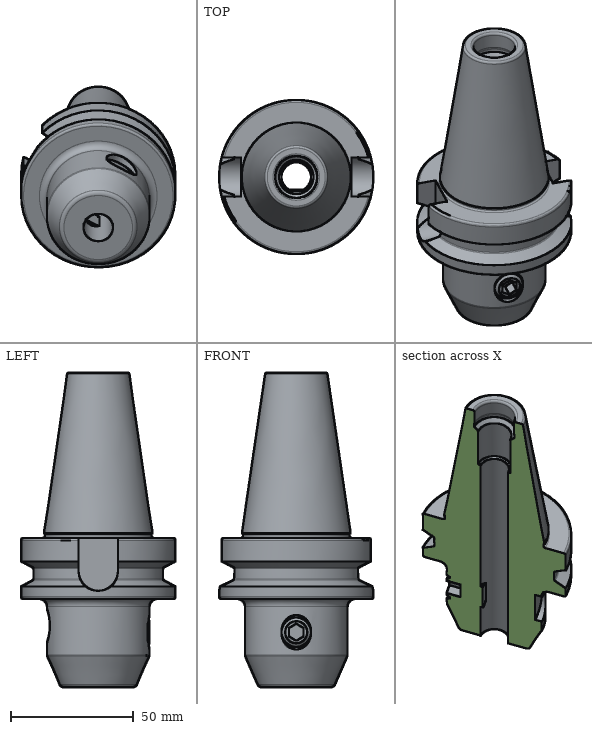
import cadquery as cq
import math


taper_length = 65.4
nose_length = 63.0

gauge_radius = 44.45 / 2
taper_ratio = 7 / 24
taper_end_radius = gauge_radius - taper_length * taper_ratio / 2
edge_round = 1.0

relief_radius = 21.8
relief_round = 0.7

flange_radius = 31.5
flange_top = -2.0
flange_bottom = -27.0
groove_centre = -16.7
groove_root_radius = 26.5
groove_mouth_width = 10.2
groove_root_round = 0.5
groove_flank_angle = 28.0
groove_flank_height = (flange_radius - groove_root_radius) * math.tan(math.radians(groove_flank_angle))
groove_root_width = groove_mouth_width - 2 * groove_flank_height

slot_width = 16.0
slot_floor_x = 22.6
slot_length = 21.6

nose_radius = 21.0
nose_neck_round = 3.0
nose_cone_length = 13.0
nose_end_radius = 15.3
nose_end_round = 2.0
nose_cone_round = 1.5

pilot_radius = 8.5
pilot_depth = 6.9
relief_bore_radius = 8.8
relief_start_depth = 8.0
relief_end_depth = 9.35
core_radius = 7.0
core_depth = 30.0
tool_bore_radius = 6.0
drill_tip_angle = 59.0

screw_z = -nose_length + 22.5
screw_radius = 6.0
screw_length = 16.0
screw_chamfer = 1.5
socket_across_flats = 6.0
socket_depth = 6.0
countersink_radius = 7.0

balance_z = screw_z + 2.7
balance_radius = 7.0
balance_depth = 3.0


def revolve_profile(profile):
    """Turn a closed (radius, Z) profile about the Z axis."""
    return profile.close().revolve(360, (0, 0, 0), (0, 1, 0))


def taper_shank():
    profile = (
        cq.Workplane("XZ")
        .moveTo(0, flange_top)
        .lineTo(relief_radius, flange_top)
        .lineTo(relief_radius, relief_radius - gauge_radius)
        .lineTo(gauge_radius, 0)
        .lineTo(taper_end_radius, taper_length)
        .lineTo(0, taper_length)
    )
    return revolve_profile(profile).faces(">Z").edges().fillet(edge_round)


def flange():
    disc = (
        cq.Workplane("XY", origin=(0, 0, flange_bottom))
        .circle(flange_radius)
        .extrude(flange_top - flange_bottom)
        .edges()
        .fillet(edge_round)
    )
    groove = (
        cq.Workplane("XZ")
        .moveTo(flange_radius, groove_centre + groove_mouth_width / 2)
        .lineTo(groove_root_radius, groove_centre + groove_root_width / 2)
        .lineTo(groove_root_radius, groove_centre - groove_root_width / 2)
        .lineTo(flange_radius, groove_centre - groove_mouth_width / 2)
    )
    groove_ring = revolve_profile(groove)
    root_edges = cq.selectors.RadiusNthSelector(0)
    return disc.cut(groove_ring.edges("%CIRCLE").edges(root_edges).fillet(groove_root_round))


def nose():
    shoulder_z = -nose_length + nose_cone_length
    profile = (
        cq.Workplane("XZ")
        .moveTo(0, flange_bottom)
        .lineTo(nose_radius, flange_bottom)
        .lineTo(nose_radius, shoulder_z)
        .lineTo(nose_end_radius, -nose_length)
        .lineTo(0, -nose_length)
    )
    body = revolve_profile(profile)
    shoulder_edge = cq.selectors.BoxSelector(
        (-flange_radius, -flange_radius, shoulder_z - edge_round),
        (flange_radius, flange_radius, shoulder_z + edge_round),
        boundingbox=True,
    )
    body = body.edges(shoulder_edge).fillet(nose_cone_round)
    return body.faces("<Z").edges().fillet(nose_end_round)


def corner_ring(wall_radius, face_z, round_radius, direction):
    """Concave fillet ring between a cylinder and a flange face (direction: +1 up, -1 down)."""
    outer_radius = wall_radius + round_radius
    end_z = face_z + direction * round_radius
    arc_reach = round_radius * math.sqrt(0.5)
    profile = (
        cq.Workplane("XZ")
        .moveTo(wall_radius, face_z)
        .lineTo(outer_radius, face_z)
        .threePointArc((outer_radius - arc_reach, end_z - direction * arc_reach), (wall_radius, end_z))
    )
    return revolve_profile(profile)


def drive_slot(side):
    """Round-ended slot on the given X side (+1 or -1), open at the top of the flange."""
    half_width = slot_width / 2
    arc_z = flange_top - slot_length + half_width
    return (
        cq.Workplane("YZ", origin=(side * slot_floor_x, 0, 0))
        .moveTo(-half_width, 0)
        .lineTo(-half_width, arc_z)
        .threePointArc((0, arc_z - half_width), (half_width, arc_z))
        .lineTo(half_width, 0)
        .close()
        .extrude(side * flange_radius)
    )


def axial_bores():
    """Pull-stud socket from the top, running into the tool bore that opens at the bottom."""
    pilot_z = taper_length - pilot_depth
    relief_start_z = taper_length - relief_start_depth
    relief_end_z = taper_length - relief_end_depth
    core_start_z = relief_end_z - (relief_bore_radius - core_radius)
    core_end_z = taper_length - core_depth
    tip_height = (core_radius - tool_bore_radius) / math.tan(math.radians(drill_tip_angle))
    arc_reach = edge_round * math.sqrt(0.5)
    mouth_radius = pilot_radius + edge_round
    profile = (
        cq.Workplane("XZ")
        .moveTo(0, taper_length)
        .lineTo(mouth_radius, taper_length)
        .threePointArc(
            (mouth_radius - arc_reach, taper_length - edge_round + arc_reach),
            (pilot_radius, taper_length - edge_round),
        )
        .lineTo(pilot_radius, pilot_z)
        .lineTo(relief_bore_radius, relief_start_z)
        .lineTo(relief_bore_radius, relief_end_z)
        .lineTo(core_radius, core_start_z)
        .lineTo(core_radius, core_end_z)
        .lineTo(tool_bore_radius, core_end_z - tip_height)
        .lineTo(tool_bore_radius, -nose_length)
        .lineTo(0, -nose_length)
    )
    return revolve_profile(profile)


def screw_countersink():
    """45 degree countersink around the screw, with room beyond it for the screw's chamfered head."""
    mouth = cq.Workplane("XZ", origin=(0, -nose_radius, screw_z))
    cone_length = countersink_radius - screw_radius
    countersink = mouth.circle(countersink_radius).extrude(-cone_length, taper=45)
    head_room = mouth.circle(screw_radius).extrude(-screw_chamfer)
    return countersink.union(head_room)


def clamping_screw():
    head = cq.Workplane("XZ", origin=(0, -nose_radius, screw_z))
    return head.circle(screw_radius).extrude(-screw_length).faces("<Y").edges().chamfer(screw_chamfer)


def hex_socket():
    """Hexagonal recess in the screw head, with flats facing the X sides."""
    across_corners = socket_across_flats / math.cos(math.radians(30))
    head = cq.Workplane("XZ", origin=(0, -nose_radius, screw_z))
    return head.transformed(rotate=(0, 0, 90)).polygon(6, across_corners).extrude(-socket_depth)


def balance_pocket():
    return (
        cq.Workplane("XZ", origin=(0, nose_radius, balance_z))
        .circle(balance_radius)
        .extrude(balance_depth)
    )


holder = taper_shank().union(flange()).union(nose())
holder = holder.union(corner_ring(nose_radius, flange_bottom, nose_neck_round, -1))
holder = holder.union(corner_ring(relief_radius, flange_top, relief_round, 1))
for slot_side in (1, -1):
    holder = holder.cut(drive_slot(slot_side))
holder = holder.cut(axial_bores()).cut(balance_pocket()).cut(screw_countersink())

result = holder.union(clamping_screw()).cut(hex_socket())